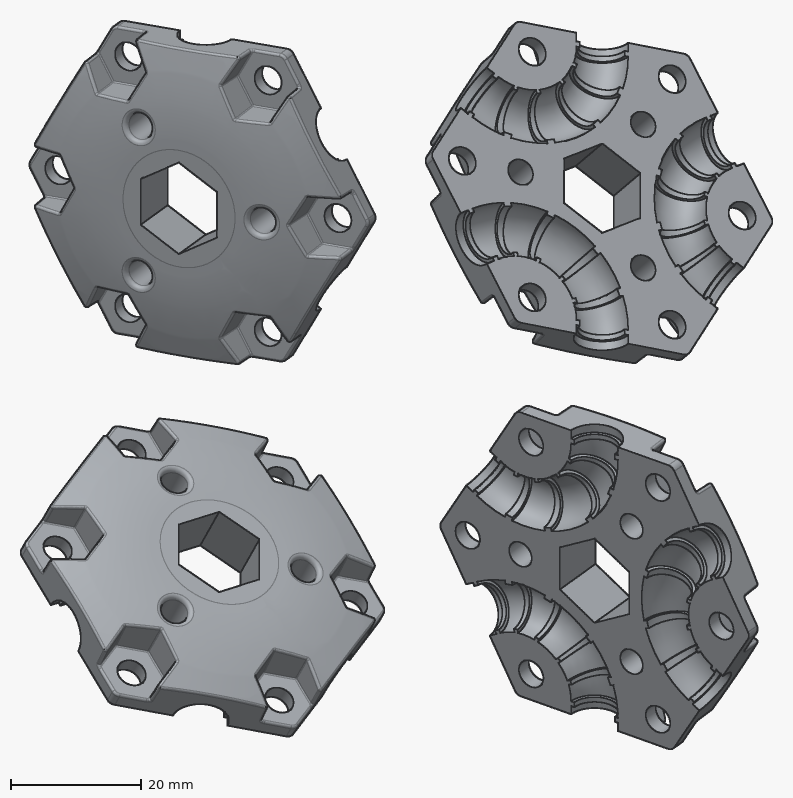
import cadquery as cq
import math

ACROSS_FLATS = 50.55
HEIGHT = 9.5
CORNER_RADIUS = 1.35
EDGE_RADIUS = 0.4
FLAT_RADIUS = 9.55
DOME_RADIUS = 50.1

SEAT_RADIUS = 23.8
SEAT_THICKNESS = 2.65
SEAT_APOTHEM = 4.6
SEAT_DRAFT = 2.0
SEAT_FILLET = 0.2
SCREW_DIAMETER = 4.6

BORE_ACROSS_FLATS = 13.0
PIN_CIRCLE_RADIUS = 13.9
PIN_HOLE_DIAMETER = 4.25
PIN_RIM_RADIUS = 0.75

CHANNEL_RADIUS = 4.4
CHANNEL_LEAD = 2.3
RIB_HEIGHT = 0.6
RIB_WIDTH = 1.0
MOUTH_RIB_DEPTH = 1.45
BEND_RIB_ANGLES = (20.5, 45.0, 75.0, 99.5)
BEND_ANGLE = 120.0

OVERLAP = 0.6
TOLERANCE = 0.01

half_flats = ACROSS_FLATS / 2
corner_distance = half_flats / math.cos(math.radians(30))
dome_reach = corner_distance + OVERLAP


def polar(radius, degrees):
    """Point on the XZ plane at an angle counted from +X towards +Z."""
    angle = math.radians(degrees)
    return radius * math.cos(angle), radius * math.sin(angle)


def spin(shape, degrees):
    """Turn a shape about the hub axis, from +X towards +Z."""
    return shape.rotate((0, 0, 0), (0, 1, 0), -degrees)


def plate(across_flats, first_corner):
    """Hexagonal prism reaching from the back face to the full height."""
    radius = across_flats / 2 / math.cos(math.radians(30))
    corners = [polar(radius, first_corner + 60 * i) for i in range(6)]
    return cq.Workplane("XZ").polyline(corners).close().extrude(HEIGHT)


def hole(x, z, diameter):
    return cq.Workplane("XZ").center(x, z).circle(diameter / 2).extrude(HEIGHT)


def dome_height(radius):
    run = radius - FLAT_RADIUS
    return HEIGHT - DOME_RADIUS + math.sqrt(DOME_RADIUS**2 - run**2)


def dome():
    middle = (FLAT_RADIUS + dome_reach) / 2
    solid = (
        cq.Workplane("XY")
        .lineTo(dome_reach, 0)
        .lineTo(dome_reach, -dome_height(dome_reach))
        .threePointArc((middle, -dome_height(middle)), (FLAT_RADIUS, -HEIGHT))
        .lineTo(0, -HEIGHT)
        .close()
        .revolve(360, (0, 0), (0, 1))
    )
    return spin(solid, -45)


def seat_outline(apothem):
    """Half a hexagon around a screw on the +X axis, run on past the corner of the hub."""
    circumradius = apothem / math.cos(math.radians(30))
    side_start = SEAT_RADIUS - circumradius / 2
    return [
        (SEAT_RADIUS - circumradius, 0),
        (side_start, apothem),
        (dome_reach, apothem),
        (dome_reach, -apothem),
        (side_start, -apothem),
    ]


def seat_pocket(degrees):
    """Clearance above one screw seat, with walls that lean outwards towards the front."""
    top_apothem = SEAT_APOTHEM + HEIGHT * math.tan(math.radians(SEAT_DRAFT))
    floor = cq.Workplane("XZ", origin=(0, -SEAT_THICKNESS, 0)).polyline(seat_outline(SEAT_APOTHEM)).close()
    pocket = floor.workplane(offset=HEIGHT).polyline(seat_outline(top_apothem)).close().loft(ruled=True)
    return spin(pocket, degrees)


def is_front_edge(edge):
    """Edges from the seats forward, apart from the border of the flat disc."""
    center = edge.Center()
    return center.y < TOLERANCE - SEAT_THICKNESS and math.hypot(center.x, center.z) > FLAT_RADIUS


def is_outer_edge(edge):
    """Front edges that lie on the dome, the sides or the rounded corners."""
    if not is_front_edge(edge):
        return False
    point = edge.positionAt(0.5)
    radius = math.hypot(point.x, point.z)
    from_side_middle = math.degrees(math.atan2(point.z, point.x)) % 60 - 30
    on_dome = abs(point.y + dome_height(radius)) < TOLERANCE
    on_side = radius * math.cos(math.radians(from_side_middle)) > half_flats - TOLERANCE
    on_corner = radius > corner_distance - CORNER_RADIUS / 2
    return on_dome or on_side or on_corner


def is_seat_inner_edge(edge):
    return is_front_edge(edge) and not is_outer_edge(edge)


def channel(degrees):
    """Ribbed channel bent around the corner at the given angle."""
    bend_start = half_flats - CHANNEL_LEAD
    bend_radius = bend_start * math.tan(math.radians(30))
    rib_inner = CHANNEL_RADIUS - RIB_HEIGHT
    rib_outer = CHANNEL_RADIUS + OVERLAP

    def section(radius):
        return cq.Workplane("XY", origin=(0, 0, bend_start)).circle(radius)

    def bend(profile, angle):
        return profile.revolve(angle, (bend_radius, 0), (bend_radius, -1))

    def along_bend(shape, angle):
        return shape.rotate((bend_radius, 0, bend_start), (bend_radius, -1, bend_start), angle)

    mouth_plane = cq.Plane((0, 0, half_flats - MOUTH_RIB_DEPTH), (1, 0, 0), (0, 0, -1))
    mouth_rib = cq.Workplane(mouth_plane).circle(rib_outer).circle(rib_inner).extrude(RIB_WIDTH)
    lead = section(CHANNEL_RADIUS).extrude(CHANNEL_LEAD + OVERLAP).cut(mouth_rib)

    tube = bend(section(CHANNEL_RADIUS), BEND_ANGLE)
    rib_angle = math.degrees(RIB_WIDTH / bend_radius)
    rib = bend(section(rib_outer).circle(rib_inner), rib_angle)
    for angle in BEND_RIB_ANGLES:
        tube = tube.cut(along_bend(rib, angle - rib_angle / 2))

    tube = tube.union(lead).union(spin(lead, -60))
    return spin(tube, degrees - 60)


body = plate(ACROSS_FLATS, 0).edges("|Y").fillet(CORNER_RADIUS).intersect(dome())
for i in range(6):
    body = body.cut(seat_pocket(60 * i))
body = body.edges().filter(is_seat_inner_edge).fillet(SEAT_FILLET)
body = body.edges().filter(is_outer_edge).fillet(EDGE_RADIUS)

body = body.cut(plate(BORE_ACROSS_FLATS, 30))
for i in range(6):
    screw_x, screw_z = polar(SEAT_RADIUS, 60 * i)
    body = body.cut(hole(screw_x, screw_z, SCREW_DIAMETER))

rim_reach = PIN_HOLE_DIAMETER / 2 + PIN_RIM_RADIUS / 4
for i in range(3):
    pin_x, pin_z = polar(PIN_CIRCLE_RADIUS, 120 * i)
    body = body.cut(hole(pin_x, pin_z, PIN_HOLE_DIAMETER))
    rim_box = cq.selectors.BoxSelector(
        (pin_x - rim_reach, -HEIGHT - OVERLAP, pin_z - rim_reach),
        (pin_x + rim_reach, OVERLAP - HEIGHT, pin_z + rim_reach),
    )
    body = body.edges(rim_box).fillet(PIN_RIM_RADIUS)
    body = body.cut(channel(60 + 120 * i))

result = body